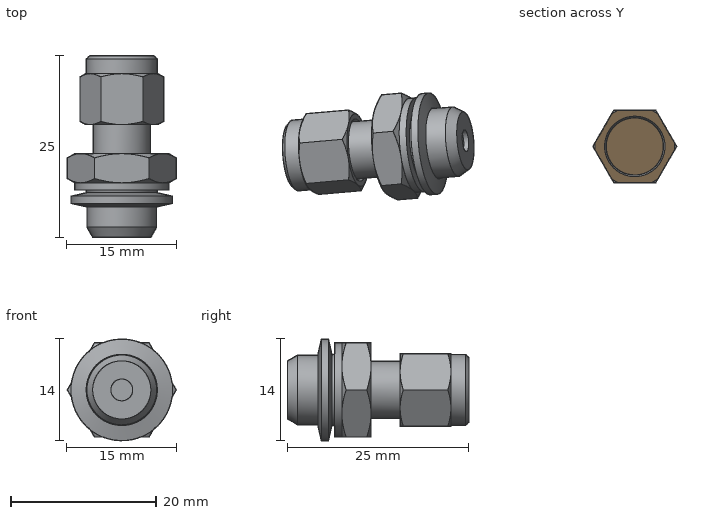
import cadquery as cq
import math

chamfer_angle = math.radians(30)

thread_radius = 4.8
thread_tip_radius = 4.0
thread_tip_length = (thread_radius - thread_tip_radius) / math.tan(chamfer_angle)
port_radius = 1.5
port_depth = 0.7

body_hex_width = 13.0
body_hex_length = 4.0
collar_start = 6.5
collar_length = 1.0
collar_radius = body_hex_width / 2
body_hex_start = collar_start + collar_length
body_hex_end = body_hex_start + body_hex_length

root_radius = 4.95
root_length = 0.5

neck_radius = 3.95
neck_length = 4.0

nut_hex_width = 10.0
nut_hex_length = 7.0
nut_start = body_hex_end + neck_length
nut_end = nut_start + nut_hex_length
nut_recess_radius = 4.3
nut_recess_depth = (nut_recess_radius - neck_radius) / math.tan(chamfer_angle)
sleeve_radius = 4.9
sleeve_length = 2.5
sleeve_chamfer = 0.5

washer_radius = 7.0
washer_bore_radius = 4.9
washer_center = 5.16
washer_rim_thickness = 1.0
washer_bore_thickness = 1.96


def revolve_profile(points):
    """Turn a closed (radius, y) outline about the Y axis."""
    return cq.Workplane("XY").polyline(points).close().revolve(360, (0, 0, 0), (0, 1, 0))


def cylinder(radius, start, length):
    return revolve_profile([(0, start), (radius, start), (radius, start + length), (0, start + length)])


def chamfered_hexagon(width, start, length):
    """Hexagon with corners on X, both ends turned down to a circle as wide as the flats."""
    flat_radius = width / 2
    corner_radius = flat_radius / math.cos(math.pi / 6)
    chamfer_length = (corner_radius - flat_radius) * math.tan(chamfer_angle)
    end = start + length
    prism = (
        cq.Workplane("XZ", origin=(0, start, 0))
        .polygon(6, 2 * corner_radius)
        .extrude(-length)
    )
    envelope = revolve_profile([
        (0, start),
        (flat_radius, start),
        (corner_radius, start + chamfer_length),
        (corner_radius, end - chamfer_length),
        (flat_radius, end),
        (0, end),
    ])
    return prism.intersect(envelope)


def make_threaded_end():
    spigot = revolve_profile([
        (0, 0),
        (thread_tip_radius, 0),
        (thread_radius, thread_tip_length),
        (thread_radius, collar_start - root_length),
        (root_radius, collar_start),
        (0, collar_start),
    ])
    return spigot.cut(cylinder(port_radius, 0, port_depth))


def make_tube_nut():
    hexagon = chamfered_hexagon(nut_hex_width, nut_start, nut_hex_length)
    sleeve = cylinder(sleeve_radius, nut_end, sleeve_length).faces(">Y").chamfer(sleeve_chamfer)
    recess = revolve_profile([
        (0, nut_start),
        (nut_recess_radius, nut_start),
        (neck_radius, nut_start + nut_recess_depth),
        (0, nut_start + nut_recess_depth),
    ])
    return hexagon.union(sleeve).cut(recess)


def make_fitting():
    collar = cylinder(collar_radius, collar_start, collar_length)
    body_hexagon = chamfered_hexagon(body_hex_width, body_hex_start, body_hex_length)
    neck = cylinder(neck_radius, body_hex_end, neck_length + nut_recess_depth)
    return make_threaded_end().union(collar).union(body_hexagon).union(neck).union(make_tube_nut())


def make_washer():
    half_rim = washer_rim_thickness / 2
    half_bore = washer_bore_thickness / 2
    return revolve_profile([
        (washer_bore_radius, washer_center - half_bore),
        (washer_radius, washer_center - half_rim),
        (washer_radius, washer_center + half_rim),
        (washer_bore_radius, washer_center + half_bore),
    ])


fitting = make_fitting()
washer = make_washer()

result = cq.Compound.makeCompound([fitting.val(), washer.val()])